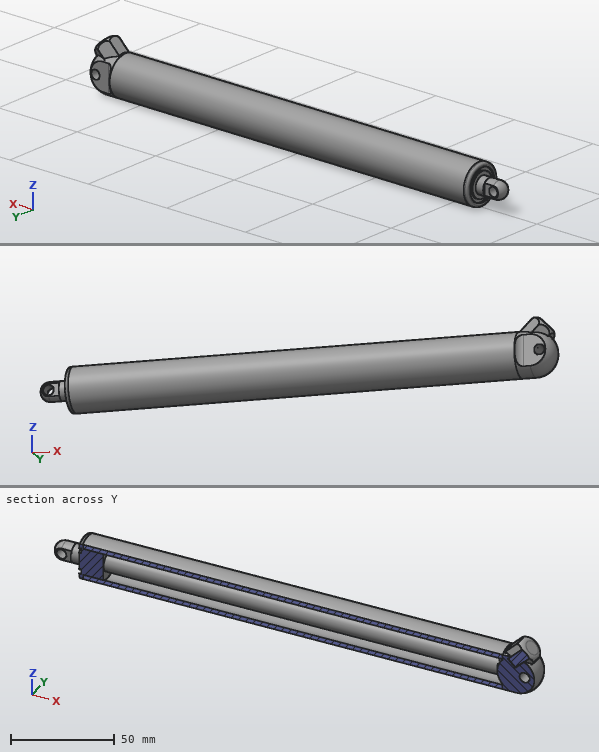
import cadquery as cq
import math

total_length = 261.0
rod_tip_x = -total_length / 2
rear_end_x = total_length / 2

tube_diameter = 23.0
tube_radius = tube_diameter / 2
bore_diameter = 18.3
front_face_x = rod_tip_x + 15.1
flange_length = 2.0
tube_front_x = front_face_x + flange_length
tube_rear_x = rod_tip_x + 242.5

rod_diameter = 10.0
rod_radius = rod_diameter / 2
eye_hole_diameter = 5.2
eye_thickness = 7.5
eye_length = 10.5
rod_start_x = rod_tip_x + eye_length

gland_edge_radius = 1.3
gland_length = 13.0
groove_outer_diameter = bore_diameter
groove_inner_diameter = 14.4
groove_depth = 1.0

ball_centre_x = rear_end_x - tube_radius
flat_thickness = 16.7
flat_start_x = rod_tip_x + 246.0
flat_runout_radius = 3.5
mount_hole_x = rod_tip_x + 254.2

valve_tilt = 45.0
valve_axis_x = rod_tip_x + 241.0
valve_corner_diameter = 14.4
valve_seat_distance = 9.0
valve_tip_distance = 20.5
valve_edge_radius = 3.5


def x_cylinder(diameter, start_x, end_x):
    """Solid round bar along the X axis."""
    return cq.Workplane("YZ", origin=(start_x, 0, 0)).circle(diameter / 2).extrude(end_x - start_x)


def cross_hole(x):
    """Cutter for a mounting hole that runs through along Y."""
    return (
        cq.Workplane("XZ", origin=(x, 0, 0))
        .circle(eye_hole_diameter / 2)
        .extrude(tube_diameter, both=True)
    )


def make_tube():
    outside = x_cylinder(tube_diameter, tube_front_x, tube_rear_x)
    return outside.cut(x_cylinder(bore_diameter, tube_front_x, tube_rear_x))


def make_rod():
    return x_cylinder(rod_diameter, rod_start_x, tube_rear_x)


def make_eye():
    """Ball-ended bar with two side flats and a cross hole."""
    centre_x = rod_tip_x + rod_radius
    eye = (
        cq.Workplane("XY")
        .moveTo(rod_tip_x, 0)
        .radiusArc((centre_x, rod_radius), rod_radius)
        .lineTo(rod_start_x, rod_radius)
        .lineTo(rod_start_x, 0)
        .close()
        .revolve(360, (rod_tip_x, 0, 0), (rod_start_x, 0, 0))
    )
    slab = cq.Workplane("XY").box(2 * eye_length, eye_thickness, 2 * rod_diameter)
    return eye.intersect(slab.translate((rod_tip_x, 0, 0))).cut(cross_hole(centre_x))


def make_gland():
    gland_end_x = front_face_x + gland_length
    flange = x_cylinder(tube_diameter, front_face_x, tube_front_x)
    flange = flange.faces("<X").edges().fillet(gland_edge_radius)
    gland = flange.union(x_cylinder(bore_diameter, tube_front_x, gland_end_x))
    groove_end_x = front_face_x + groove_depth
    groove = x_cylinder(groove_outer_diameter, front_face_x, groove_end_x)
    groove = groove.cut(x_cylinder(groove_inner_diameter, front_face_x, groove_end_x))
    return gland.cut(groove).cut(x_cylinder(rod_diameter, front_face_x, gland_end_x))


def valve_workplane(distance):
    """Plane square to the valve axis, at a distance along it from the X axis."""
    tilt = math.radians(valve_tilt)
    axis = (math.cos(tilt), 0, math.sin(tilt))
    plane = cq.Plane(origin=(valve_axis_x, 0, 0), xDir=(0, 1, 0), normal=axis)
    return cq.Workplane(plane).workplane(offset=distance)


def make_valve():
    """Hexagonal bar whose outer end is rounded as on a turned bar."""
    length = valve_tip_distance - valve_seat_distance
    hexagon = valve_workplane(valve_seat_distance).polygon(6, valve_corner_diameter).extrude(length)
    seat = valve_workplane(valve_seat_distance)
    rounded_bar = seat.circle(valve_corner_diameter / 2).extrude(length)
    rounded_bar = rounded_bar.faces(cq.selectors.DirectionMinMaxSelector(seat.plane.zDir, True))
    rounded_bar = rounded_bar.edges().fillet(valve_edge_radius)
    return hexagon.intersect(rounded_bar)


def flat_cutter(side):
    """Cutter for one side flat, whose front end runs out in a concave arc."""
    flat_y = flat_thickness / 2
    outer_y = flat_y + flat_runout_radius
    profile = (
        cq.Workplane("XY")
        .moveTo(flat_start_x, flat_y)
        .lineTo(rear_end_x, flat_y)
        .lineTo(rear_end_x, outer_y)
        .lineTo(flat_start_x - flat_runout_radius, outer_y)
        .radiusArc((flat_start_x, flat_y), -flat_runout_radius)
        .close()
        .extrude(tube_diameter, both=True)
    )
    return profile if side > 0 else profile.mirror("XZ")


def make_rear_cap(valve):
    cap = x_cylinder(tube_diameter, tube_rear_x, ball_centre_x)
    ball = cq.Workplane("XY").sphere(tube_radius).translate((ball_centre_x, 0, 0))
    cap = cap.union(ball)
    for side in (-1, 1):
        cap = cap.cut(flat_cutter(side))
    return cap.cut(cross_hole(mount_hole_x)).cut(valve)


tube = make_tube()
rod = make_rod()
gland = make_gland()
eye = make_eye()
valve = make_valve()
rear_cap = make_rear_cap(valve)

result = cq.Compound.makeCompound(
    [tube.val(), rod.val(), gland.val(), eye.val(), valve.val(), rear_cap.val()]
)